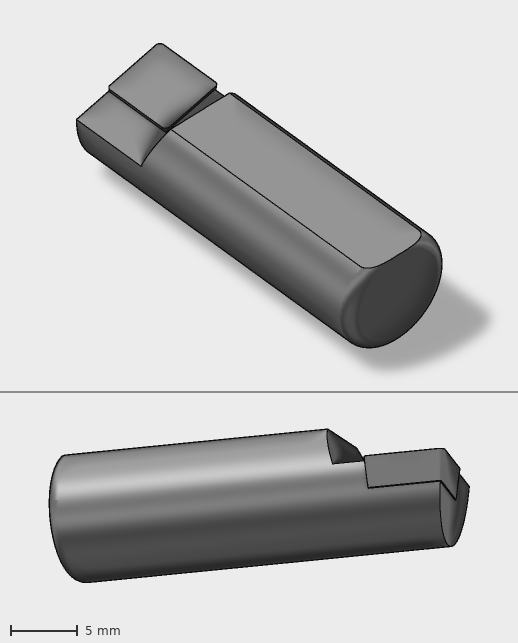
import cadquery as cq
import math


overall_length = 32.0
bar_diameter = 10.0
bar_radius = bar_diameter / 2
flat_height = 4.0
end_fillet = 1.0

ledge_height = 0.7
step_start = 9.0
step_run = 1.15
front_setback = 0.1

insert_top = 1.0
insert_thickness = 2.4
insert_width = 6.37
insert_edge_y = 5.3
lead_angle = 10.0
relief_angle = 7.0
nose_radius = 0.4

lead = math.radians(lead_angle)
relief = math.radians(relief_angle)
side_length = insert_width / math.cos(lead)
side_shift = insert_width * math.tan(lead)
corner_x = nose_radius * (1 - math.tan(lead) - 1 / math.cos(lead))

cutter_size = 2 * overall_length


def rhombus_prism(corner_radius):
    """Insert shape tapering downwards; a radius of zero gives sharp corners."""
    inner_y = insert_edge_y - insert_width
    outline = cq.Sketch().polygon([
        (corner_x, insert_edge_y),
        (corner_x + side_shift, inner_y),
        (corner_x + side_shift + side_length, inner_y),
        (corner_x + side_length, insert_edge_y),
        (corner_x, insert_edge_y),
    ])
    if corner_radius > 0:
        outline = outline.vertices().fillet(corner_radius)
    top_plane = cq.Workplane("XY", origin=(0, 0, insert_top))
    return top_plane.placeSketch(outline).extrude(-insert_thickness, taper=relief_angle)


def make_shank():
    """Round bar with a rounded rear end and a full-length clamping flat."""
    bar = cq.Workplane("YZ").circle(bar_radius).extrude(overall_length)
    bar = bar.faces(">X").edges().fillet(end_fillet)
    above_flat = (
        cq.Workplane("XY", origin=(0, 0, flat_height))
        .rect(cutter_size, cutter_size)
        .extrude(bar_radius)
    )
    return bar.cut(above_flat)


def step_cutter():
    """Space above the seat ledge, ending at the sloping step."""
    return (
        cq.Workplane("XZ")
        .moveTo(-overall_length, ledge_height)
        .lineTo(step_start, ledge_height)
        .lineTo(step_start + step_run, flat_height)
        .lineTo(-overall_length, flat_height)
        .close()
        .extrude(bar_radius, both=True)
    )


def nose_cutter():
    """Space in front of the bar's slanted end face, parallel to and behind the insert's front."""
    front_plane = cq.Plane(
        origin=(corner_x, insert_edge_y, insert_top),
        xDir=(math.sin(lead), -math.cos(lead), 0),
        normal=(
            -math.cos(lead) * math.cos(relief),
            -math.sin(lead) * math.cos(relief),
            -math.sin(relief),
        ),
    )
    end_face = cq.Workplane(front_plane).workplane(offset=-front_setback)
    return end_face.rect(cutter_size, cutter_size).extrude(overall_length)


def make_holder():
    """Shank with the stepped seat, slanted end and sharp-cornered insert pocket."""
    pocket = rhombus_prism(0)
    return make_shank().cut(step_cutter()).cut(nose_cutter()).cut(pocket)


holder = make_holder().solids()
insert = rhombus_prism(nose_radius)

result = cq.Compound.makeCompound([holder.val(), insert.val()])